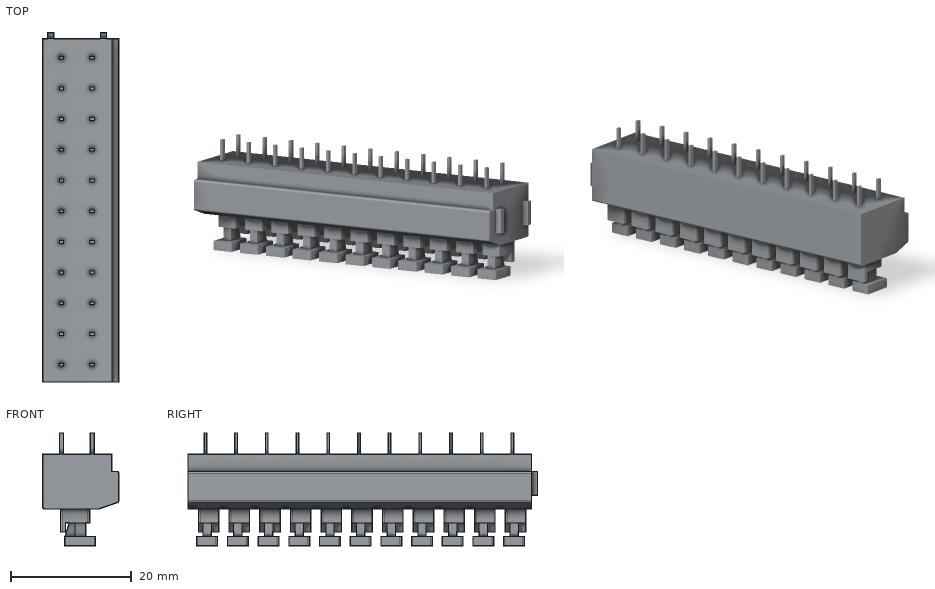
import cadquery as cq

TOTAL_LENGTH = 57.9
PEG_LENGTH = 1.0
HOUSING_LENGTH = TOTAL_LENGTH - PEG_LENGTH

HOUSING_WIDTH = 12.6
HOUSING_HEIGHT = 9.1
TOP_WIDTH = 11.45
STEP_DEPTH = 2.85
SLOPE_START_X = 9.25
SLOPE_END_DEPTH = 7.95
CORNER_RADIUS = 0.35

PEG_WIDTH = 1.05
PEG_CENTRES_X = (1.35, 10.1)
PEG_TOP_DEPTH = 2.85
PEG_HEIGHT = 4.0

POLE_COUNT = 11
FIRST_POLE_Y = 2.9
POLE_SPAN = 50.8
POLE_PITCH = POLE_SPAN / (POLE_COUNT - 1)

PIN_WIDTH = 0.7
PIN_THICKNESS = 0.45
PIN_HEIGHT = 3.55
FIRST_PIN_X = 3.1
PIN_ROW_COUNT = 2
PIN_ROW_PITCH = 5.1

GUIDE_MIN_X = 2.95
GUIDE_MAX_X = 7.8
GUIDE_BOTTOM_DEPTH = 11.35
LEG_WIDTH = 0.85
LEG_BOTTOM_DEPTH = 12.9
GUIDE_LENGTH = 3.4
GUIDE_OFFSET_Y = 0.5

LEVER_OFFSET_Y = 0.3
STEM_BOTTOM_MIN_X = 3.7
STEM_TOP_MIN_X = 4.4
STEM_STEP_X = 5.4
STEM_MAX_X = 7.2
THIN_STEM_LENGTH = 1.05
THICK_STEM_LENGTH = 1.4
BUTTON_MIN_X = 3.65
BUTTON_WIDTH = 5.1
BUTTON_LENGTH = 3.5
BUTTON_TOP_DEPTH = 13.6
BUTTON_BOTTOM_DEPTH = 15.15


def extrude_along_y(points, min_y, length):
    """Extrude a closed XZ outline from min_y towards +Y."""
    return cq.Workplane("XZ", origin=(0, min_y, 0)).polyline(points).close().extrude(-length)


def make_box(min_x, width, centre_y, length, bottom, height):
    """Box placed by its -X side, its middle in Y and its bottom in Z."""
    corner = (min_x, centre_y - length / 2, bottom)
    return cq.Workplane("XY").box(width, length, height, centered=False).translate(corner)


def make_housing():
    outline = [
        (0, 0),
        (TOP_WIDTH, 0),
        (TOP_WIDTH, -STEP_DEPTH),
        (HOUSING_WIDTH, -STEP_DEPTH),
        (HOUSING_WIDTH, -SLOPE_END_DEPTH),
        (SLOPE_START_X, -HOUSING_HEIGHT),
        (0, -HOUSING_HEIGHT),
    ]
    housing = extrude_along_y(outline, 0, HOUSING_LENGTH)
    housing = housing.edges("|Y and >X").fillet(CORNER_RADIUS)
    return housing.edges("|Y and <X and <Z").fillet(CORNER_RADIUS)


def make_peg(centre_x):
    centre_y = HOUSING_LENGTH + PEG_LENGTH / 2
    bottom = -PEG_TOP_DEPTH - PEG_HEIGHT
    return make_box(centre_x - PEG_WIDTH / 2, PEG_WIDTH, centre_y, PEG_LENGTH, bottom, PEG_HEIGHT)


def make_pin(row, pole_y):
    min_x = FIRST_PIN_X + row * PIN_ROW_PITCH - PIN_WIDTH / 2
    return make_box(min_x, PIN_WIDTH, pole_y, PIN_THICKNESS, 0, PIN_HEIGHT)


def make_guide(pole_y):
    leg_max_x = GUIDE_MIN_X + LEG_WIDTH
    outline = [
        (GUIDE_MIN_X, -HOUSING_HEIGHT),
        (GUIDE_MAX_X, -HOUSING_HEIGHT),
        (GUIDE_MAX_X, -GUIDE_BOTTOM_DEPTH),
        (leg_max_x, -GUIDE_BOTTOM_DEPTH),
        (leg_max_x, -LEG_BOTTOM_DEPTH),
        (GUIDE_MIN_X, -LEG_BOTTOM_DEPTH),
    ]
    guide = extrude_along_y(outline, pole_y + GUIDE_OFFSET_Y - GUIDE_LENGTH / 2, GUIDE_LENGTH)
    front_corners = guide.edges("|Z and <Y and (<X or >X)")
    return front_corners.fillet(CORNER_RADIUS)


def make_lever(pole_y):
    centre_y = pole_y + LEVER_OFFSET_Y
    thin_outline = [
        (STEM_TOP_MIN_X, -GUIDE_BOTTOM_DEPTH),
        (STEM_STEP_X, -GUIDE_BOTTOM_DEPTH),
        (STEM_STEP_X, -BUTTON_TOP_DEPTH),
        (STEM_BOTTOM_MIN_X, -BUTTON_TOP_DEPTH),
    ]
    thin_stem = extrude_along_y(thin_outline, centre_y - THIN_STEM_LENGTH / 2, THIN_STEM_LENGTH)
    thick_stem = make_box(
        STEM_STEP_X, STEM_MAX_X - STEM_STEP_X, centre_y, THICK_STEM_LENGTH,
        -BUTTON_TOP_DEPTH, BUTTON_TOP_DEPTH - GUIDE_BOTTOM_DEPTH,
    )
    button = make_box(
        BUTTON_MIN_X, BUTTON_WIDTH, centre_y, BUTTON_LENGTH,
        -BUTTON_BOTTOM_DEPTH, BUTTON_BOTTOM_DEPTH - BUTTON_TOP_DEPTH,
    )
    button = button.edges("|Z and >Y").fillet(CORNER_RADIUS)
    return button.union(thin_stem).union(thick_stem)


result = make_housing()
for peg_x in PEG_CENTRES_X:
    result = result.union(make_peg(peg_x))
for pole in range(POLE_COUNT):
    y = FIRST_POLE_Y + pole * POLE_PITCH
    for pin_row in range(PIN_ROW_COUNT):
        result = result.union(make_pin(pin_row, y))
    result = result.union(make_guide(y)).union(make_lever(y))